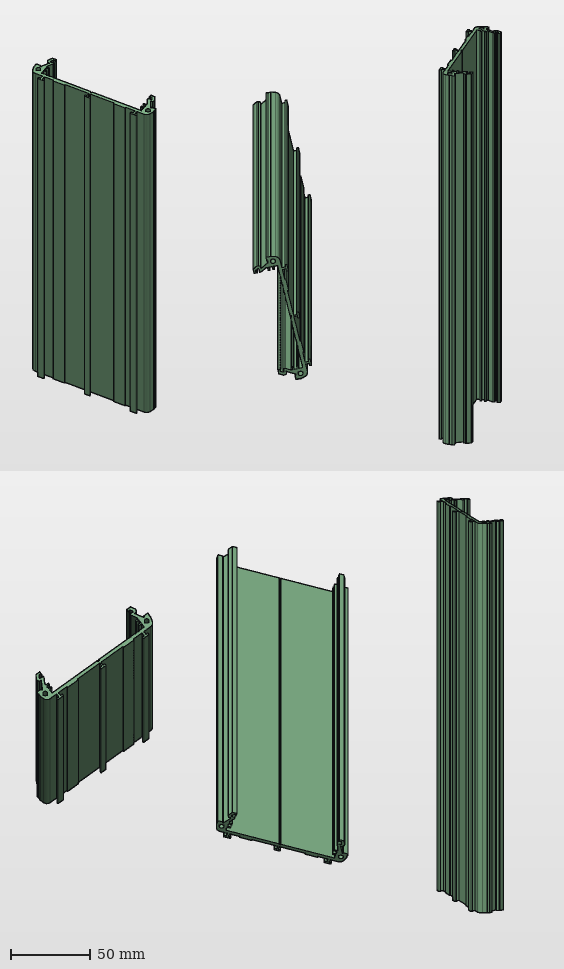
import cadquery as cq
import math

WIDTH = 86.8
DEPTH = 21.5
LENGTH = 250.0
SIDE_X = WIDTH / 2
FRONT_Y = -DEPTH / 2
BACK_Y = DEPTH / 2

T_HEIGHT = 3.5
PLATE_THICKNESS = 2.3
PLATE_FRONT_Y = FRONT_Y + T_HEIGHT
PLATE_BACK_Y = PLATE_FRONT_Y + PLATE_THICKNESS

T_FLANGE_THICKNESS = 1.3
T_EDGE_RADIUS = 0.25
SIDE_T_X = 33.5
SIDE_T_WIDTH = 4.5
SIDE_T_STEM = 1.5
MIDDLE_T_WIDTH = 4.0
MIDDLE_T_STEM = 1.0

PAD_INNER_X = 17.7
PAD_OUTER_X = 26.0
PAD_HEIGHT = 0.7
GROOVE_WIDTH = 1.0
GROOVE_DEPTH = 0.6

BLOCK_TOP_Y = 1.05
BLOCK_TOP_RADIUS = 0.3
WALL_INNER_X = 36.1
TAPER_TOP_Y = -2.3
TAPER_ANGLE = math.radians(18)
CORNER_RADIUS = 3.4
CORNER_CENTRE_Y = PLATE_FRONT_Y + CORNER_RADIUS
HOLE_DIAMETER = 3.0
HOLE_X = 39.75
HOLE_Y = -2.75

SIDE_GROOVE_DEPTH = 0.1
SIDE_GROOVE_MIN_Y = -1.9
SIDE_GROOVE_MAX_Y = -0.4

NOTCH_OUTER_X = 40.2
NOTCH_Y = 0.4

FIN_TIP_X = 34.1
FIN_THICKNESS = 1.0
FIN_CENTRE_YS = (1.1, -1.9)

LEAN = math.tan(math.radians(30))
ARM_TIP_X = FIN_TIP_X
NECK_INNER_TOP_Y = 6.1
NECK_OUTER_X = 36.6
NECK_OUTER_TOP_Y = 5.6
HOOK_UNDERSIDE_Y = 5.8
HOOK_HEEL_X = 38.1
HOOK_OUTER_X = 38.7
HOOK_SIDE_MIN_Y = 7.0
HOOK_SIDE_MAX_Y = 7.9
HOOK_SHOULDER_Y = 10.1
HOOK_TOP_X = 37.1
HOOK_FLOOR_Y = 7.2
HOOK_POCKET_X = 36.5
HOOK_POCKET_SIDE_Y = 7.8
HOOK_ROOF_Y = 9.4
LIP_Y = 8.6
LIP_WIDTH = 0.6


def box(x_min, x_max, y_min, y_max):
    """Full-length bar between the given X and Y limits."""
    return (
        cq.Workplane("XY")
        .center((x_min + x_max) / 2, (y_min + y_max) / 2)
        .rect(x_max - x_min, y_max - y_min)
        .extrude(LENGTH)
    )


def t_rib(centre_x, width, stem):
    """T-shaped rib standing out from the front face of the plate."""
    flange_back_y = FRONT_Y + T_FLANGE_THICKNESS
    flange = box(centre_x - width / 2, centre_x + width / 2, FRONT_Y, flange_back_y)
    flange = flange.edges("|Z").fillet(T_EDGE_RADIUS)
    web = box(centre_x - stem / 2, centre_x + stem / 2, flange_back_y, PLATE_FRONT_Y)
    return flange.union(web)


def wall_and_arm():
    """Block at the +X edge together with the arm and hook that rise from it."""
    arc_rise = CORNER_RADIUS * math.sin(TAPER_ANGLE)
    arc_end_y = CORNER_CENTRE_Y - arc_rise
    arc_end_x = SIDE_X - (TAPER_TOP_Y - arc_end_y) * math.tan(TAPER_ANGLE)
    arc_start_x = arc_end_x - CORNER_RADIUS * math.cos(TAPER_ANGLE)

    notch_inner_x = NECK_OUTER_X + (NECK_OUTER_TOP_Y - NOTCH_Y) * LEAN
    shoulder_x = HOOK_OUTER_X - (HOOK_SHOULDER_Y - HOOK_SIDE_MAX_Y) * LEAN
    roof_x = HOOK_POCKET_X - (HOOK_ROOF_Y - HOOK_POCKET_SIDE_Y) * LEAN
    lip_x = ARM_TIP_X + LIP_WIDTH
    neck_inner_foot_y = NECK_INNER_TOP_Y - (WALL_INNER_X - ARM_TIP_X) / LEAN

    return (
        cq.Workplane("XY")
        .moveTo(WALL_INNER_X, PLATE_FRONT_Y)
        .lineTo(arc_start_x, PLATE_FRONT_Y)
        .radiusArc((arc_end_x, arc_end_y), -CORNER_RADIUS)
        .lineTo(SIDE_X, TAPER_TOP_Y)
        .lineTo(SIDE_X, BLOCK_TOP_Y - BLOCK_TOP_RADIUS)
        .radiusArc((SIDE_X - BLOCK_TOP_RADIUS, BLOCK_TOP_Y), -BLOCK_TOP_RADIUS)
        .lineTo(NOTCH_OUTER_X, BLOCK_TOP_Y)
        .lineTo(NOTCH_OUTER_X, NOTCH_Y)
        .lineTo(notch_inner_x, NOTCH_Y)
        .lineTo(NECK_OUTER_X, NECK_OUTER_TOP_Y)
        .lineTo(NECK_OUTER_X, HOOK_UNDERSIDE_Y)
        .lineTo(HOOK_HEEL_X, HOOK_UNDERSIDE_Y)
        .lineTo(HOOK_OUTER_X, HOOK_SIDE_MIN_Y)
        .lineTo(HOOK_OUTER_X, HOOK_SIDE_MAX_Y)
        .lineTo(shoulder_x, HOOK_SHOULDER_Y)
        .lineTo(HOOK_TOP_X, BACK_Y)
        .lineTo(ARM_TIP_X, BACK_Y)
        .lineTo(ARM_TIP_X, LIP_Y)
        .lineTo(lip_x, HOOK_ROOF_Y)
        .lineTo(roof_x, HOOK_ROOF_Y)
        .lineTo(HOOK_POCKET_X, HOOK_POCKET_SIDE_Y)
        .lineTo(HOOK_POCKET_X, HOOK_FLOOR_Y)
        .lineTo(ARM_TIP_X, HOOK_FLOOR_Y)
        .lineTo(ARM_TIP_X, NECK_INNER_TOP_Y)
        .lineTo(WALL_INNER_X, neck_inner_foot_y)
        .close()
        .extrude(LENGTH)
    )


def screw_hole():
    """Round hole that runs the full length of the block."""
    return cq.Workplane("XY").center(HOLE_X, HOLE_Y).circle(HOLE_DIAMETER / 2).extrude(LENGTH)


def side_groove():
    """Shallow rectangular groove in the outer side of the block."""
    return box(SIDE_X - SIDE_GROOVE_DEPTH, SIDE_X, SIDE_GROOVE_MIN_Y, SIDE_GROOVE_MAX_Y)


def fin(centre_y):
    """Thin locating fin that points inward from the wall."""
    return box(FIN_TIP_X, WALL_INNER_X, centre_y - FIN_THICKNESS / 2, centre_y + FIN_THICKNESS / 2)


def pad():
    """Wide, low raised strip on the front face of the plate."""
    return box(PAD_INNER_X, PAD_OUTER_X, PLATE_FRONT_Y - PAD_HEIGHT, PLATE_FRONT_Y)


def plate():
    """Flat base between the two walls, with the marking groove on its centre line."""
    flat = box(-WALL_INNER_X, WALL_INNER_X, PLATE_FRONT_Y, PLATE_BACK_Y)
    groove = box(-GROOVE_WIDTH / 2, GROOVE_WIDTH / 2, PLATE_BACK_Y - GROOVE_DEPTH, PLATE_BACK_Y)
    return flat.cut(groove)


def side_features():
    """Everything on the +X side of the centre line except the plate."""
    body = wall_and_arm().cut(screw_hole()).cut(side_groove())
    for fin_y in FIN_CENTRE_YS:
        body = body.union(fin(fin_y))
    return body.union(pad()).union(t_rib(SIDE_T_X, SIDE_T_WIDTH, SIDE_T_STEM))


plus_x_side = side_features()
minus_x_side = plus_x_side.mirror("YZ")
middle_t = t_rib(0, MIDDLE_T_WIDTH, MIDDLE_T_STEM)
result = plate().union(middle_t).union(plus_x_side).union(minus_x_side)